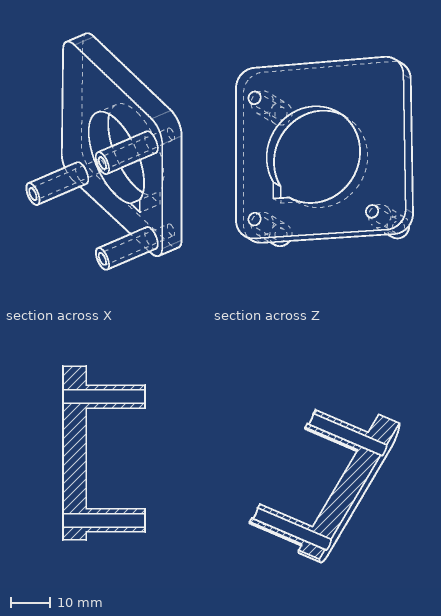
import cadquery as cq

plate_thickness = 6.0
post_length = 15.0
post_radius = 3.0
post_hole_radius = 1.65
post_offset = 15.75
corner_radius = 5.0
bore_radius = 12.5
notch_reach = 10.7

straight_edge = post_offset + corner_radius
leaning_edge = 24.85
lean = 0.77
top_left_height = 24.25
top_right_height = 23.5

post_centers = [
    (post_offset, post_offset),
    (post_offset, -post_offset),
    (-post_offset, -post_offset),
]


def front_plane(y):
    """Sketch plane at the given Y: local x is X, local y is Z, normal is -Y."""
    return cq.Workplane("XZ", origin=(0, y, 0))


def make_plate():
    outline = [
        (-leaning_edge, -straight_edge),
        (straight_edge, -straight_edge),
        (straight_edge, top_right_height),
        (-leaning_edge + lean, top_left_height),
    ]
    plate = front_plane(plate_thickness).polyline(outline).close().extrude(plate_thickness)
    return plate.edges("|Y").fillet(corner_radius)


def make_bore():
    """Round opening with a square notch at its lower right."""
    bore = front_plane(plate_thickness).circle(bore_radius).extrude(plate_thickness)
    notch = (
        front_plane(plate_thickness)
        .center(notch_reach / 2, -notch_reach / 2)
        .rect(notch_reach, notch_reach)
        .extrude(plate_thickness)
    )
    return bore.union(notch)


def make_post_cylinders(radius):
    """Cylinders on the post axes, from the plate's back to the post tips."""
    length = plate_thickness + post_length
    return front_plane(plate_thickness).pushPoints(post_centers).circle(radius).extrude(length)


result = (
    make_plate()
    .union(make_post_cylinders(post_radius))
    .cut(make_bore())
    .cut(make_post_cylinders(post_hole_radius))
)